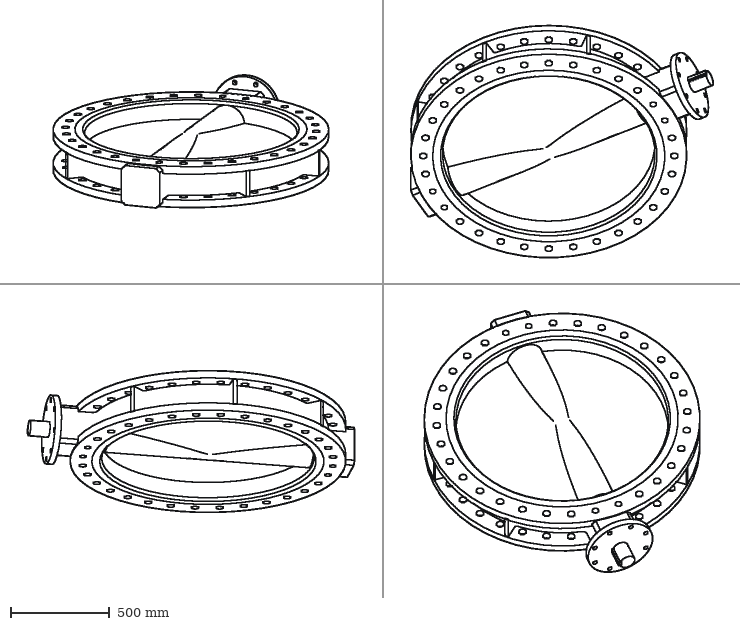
import cadquery as cq
import math


OVERALL_LENGTH = 1658.0

HEIGHT = 215.0
FLANGE_RADIUS = 1395.0 / 2
FLANGE_THICKNESS = 40.0
WALL_RADIUS = 610.0
WEB_HEIGHT = HEIGHT - 2 * FLANGE_THICKNESS
TOLERANCE = 0.2

RIB_TIP_THICKNESS = 20.0
RIB_ROOT_THICKNESS = 30.0
RIB_END = 691.0
RIB_FILLET = 10.0
RIB_ANGLES = [-45, 0, 45, 135, 180, 225]

BOLT_COUNT = 32
BOLT_CIRCLE_RADIUS = 635.0
BOLT_HOLE_DIAMETER = 36.0
TAPPED_HOLE_DIAMETER = 32.0
TAPPED_HOLE_DEPTH = 60.0
DRILL_TIP_ANGLE = 118

NECK_SIZE = 207.0
NECK_CHAMFER = 20.0
NECK_FILLET = 23.0
BOTTOM_END = -736.0
PLATE_OUTER_FACE = 822.0
PLATE_THICKNESS = 32.0
PLATE_RADIUS = 350.0 / 2
PLATE_HOLE_COUNT = 8
PLATE_HOLE_CIRCLE_RADIUS = 150.0
PLATE_HOLE_DIAMETER = 22.0

LINER_RADIUS = 587.0
BORE_RADIUS = 537.0
LEAD_IN_WIDTH = 10.0
LEAD_IN_HEIGHT = 17.0

DISC_APEX = 91.0
DISC_RIM = 8.0
HUB_RADIUS = 187.0 / 2
HUB_END = math.sqrt(BORE_RADIUS**2 - HUB_RADIUS**2)

SHAFT_RADIUS = 40.0
SHAFT_TOP = BOTTOM_END + OVERALL_LENGTH
SHAFT_BOTTOM = -663.0
KEY_WIDTH = 22.0
KEY_SEAT = 32.0
KEY_TOP = 48.0


def cylinder_z(radius, z_low, z_high):
    """Cylinder on the pipe axis."""
    return cq.Workplane("XY").workplane(offset=z_low).circle(radius).extrude(z_high - z_low)


def along_y(y_low):
    """Sketch plane at y_low whose extrusions run toward +Y; local axes are -X and Z."""
    return cq.Workplane(cq.Plane(origin=(0, y_low, 0), xDir=(-1, 0, 0), normal=(0, 1, 0)))


def cylinder_y(radius, y_low, y_high):
    """Cylinder on the shaft axis."""
    return along_y(y_low).circle(radius).extrude(y_high - y_low)


def fillet_wall_corners(web, radius):
    """Round the upright inside corners where attachments meet the outer wall."""
    corners = [
        edge
        for edge in web.edges("|Z").vals()
        if abs(math.hypot(edge.Center().x, edge.Center().y) - WALL_RADIUS) < TOLERANCE
    ]
    return web.newObject(corners).fillet(radius)


def make_rib():
    """Tapered rib pointing along +X, rooted inside the wall at the liner radius."""
    root = RIB_ROOT_THICKNESS / 2
    tip = RIB_TIP_THICKNESS / 2
    outline = [(LINER_RADIUS, -root), (RIB_END, -tip), (RIB_END, tip), (LINER_RADIUS, root)]
    return cq.Workplane("XY").workplane(offset=-WEB_HEIGHT / 2).polyline(outline).close().extrude(WEB_HEIGHT)


def make_web():
    """Wall core with the ribs and the roots of both necks, between the flanges."""
    half = WEB_HEIGHT / 2
    wall = cylinder_z(WALL_RADIUS, -half, half)
    neck_root = cq.Workplane("XY").box(NECK_SIZE, 2 * RIB_END, WEB_HEIGHT)
    web = fillet_wall_corners(wall.union(neck_root), NECK_FILLET)

    ribs = wall
    for angle in RIB_ANGLES:
        ribs = ribs.union(make_rib().rotate((0, 0, 0), (0, 0, 1), angle))
    return web.union(fillet_wall_corners(ribs, RIB_FILLET))


def make_neck_bar():
    """Square bar with chamfered corners, running through both necks."""
    length = PLATE_OUTER_FACE - BOTTOM_END
    bar = along_y(BOTTOM_END).rect(NECK_SIZE, NECK_SIZE).extrude(length)
    return bar.edges("|Y").chamfer(NECK_CHAMFER)


def make_plate():
    """Round mounting plate with its ring of bolt holes."""
    return (
        along_y(PLATE_OUTER_FACE - PLATE_THICKNESS)
        .circle(PLATE_RADIUS)
        .extrude(PLATE_THICKNESS)
        .faces(">Y")
        .workplane()
        .polarArray(PLATE_HOLE_CIRCLE_RADIUS, 180 / PLATE_HOLE_COUNT, 360, PLATE_HOLE_COUNT)
        .hole(PLATE_HOLE_DIAMETER)
    )


def make_tapped_hole():
    """Drill shape with a conical tip, pointing down from the upper flange face at X = Y = 0."""
    radius = TAPPED_HOLE_DIAMETER / 2
    top = HEIGHT / 2
    shoulder = top - TAPPED_HOLE_DEPTH
    tip = shoulder - radius / math.tan(math.radians(DRILL_TIP_ANGLE / 2))
    profile = [(0, top), (radius, top), (radius, shoulder), (0, tip)]
    return cq.Workplane("XZ").polyline(profile).close().revolve(360, (0, 0, 0), (0, 1, 0))


def cut_bolt_holes(housing):
    """Ring of holes straddling both axes: tapped in the necks, through elsewhere."""
    through_hole = cylinder_z(BOLT_HOLE_DIAMETER / 2, -HEIGHT / 2, HEIGHT / 2)
    upper_tapped_hole = make_tapped_hole()
    tapped_holes = upper_tapped_hole.union(upper_tapped_hole.mirror("XY"))
    for index in range(BOLT_COUNT):
        angle = 2 * math.pi * (index + 0.5) / BOLT_COUNT
        x = BOLT_CIRCLE_RADIUS * math.cos(angle)
        y = BOLT_CIRCLE_RADIUS * math.sin(angle)
        in_neck = abs(x) < NECK_SIZE / 2
        hole = tapped_holes if in_neck else through_hole
        housing = housing.cut(hole.translate((x, y, 0)))
    return housing


def make_housing():
    """Flanged ring with ribs, both necks and the mounting plate."""
    half = HEIGHT / 2
    upper_flange = cylinder_z(FLANGE_RADIUS, half - FLANGE_THICKNESS, half)
    lower_flange = cylinder_z(FLANGE_RADIUS, -half, FLANGE_THICKNESS - half)
    body = make_web().union(upper_flange).union(lower_flange).union(make_neck_bar()).union(make_plate())
    body = body.cut(cylinder_z(LINER_RADIUS, -half, half))
    body = cut_bolt_holes(body)
    return body.cut(make_shaft_envelope())


def make_liner():
    """Sleeve with a tapered lead-in at each end of its bore."""
    half = HEIGHT / 2
    taper_start = half - LEAD_IN_HEIGHT
    mouth_radius = BORE_RADIUS + LEAD_IN_WIDTH
    profile = [
        (LINER_RADIUS, -half),
        (LINER_RADIUS, half),
        (mouth_radius, half),
        (BORE_RADIUS, taper_start),
        (BORE_RADIUS, -taper_start),
        (mouth_radius, -half),
    ]
    sleeve = cq.Workplane("XZ").polyline(profile).close().revolve(360, (0, 0, 0), (0, 1, 0))
    return sleeve.cut(make_shaft_envelope())


def make_disc():
    """Double cone with a round hub along the shaft axis."""
    profile = [(0, -DISC_APEX), (BORE_RADIUS, -DISC_RIM), (BORE_RADIUS, DISC_RIM), (0, DISC_APEX)]
    cones = cq.Workplane("XZ").polyline(profile).close().revolve(360, (0, 0, 0), (0, 1, 0))
    hub = cylinder_y(HUB_RADIUS, -HUB_END, HUB_END)
    return cones.union(hub).cut(make_shaft_envelope())


def make_shaft_envelope():
    """Full round of the shaft, which is also the bore that the other bodies need for it."""
    return cylinder_y(SHAFT_RADIUS, SHAFT_BOTTOM, SHAFT_TOP)


def make_key():
    """Key on the +X side of the exposed shaft end."""
    length = SHAFT_TOP - PLATE_OUTER_FACE
    height = KEY_TOP - KEY_SEAT
    centre = (KEY_SEAT + height / 2, PLATE_OUTER_FACE + length / 2, 0)
    return cq.Workplane("XY").box(height, length, KEY_WIDTH).translate(centre)


def make_shaft():
    """Shaft with a keyway in its exposed end."""
    return make_shaft_envelope().cut(make_key())


housing = make_housing()
liner = make_liner()
disc = make_disc()
shaft = make_shaft()
key = make_key()

result = cq.Compound.makeCompound([housing.val(), liner.val(), disc.val(), shaft.val(), key.val()])